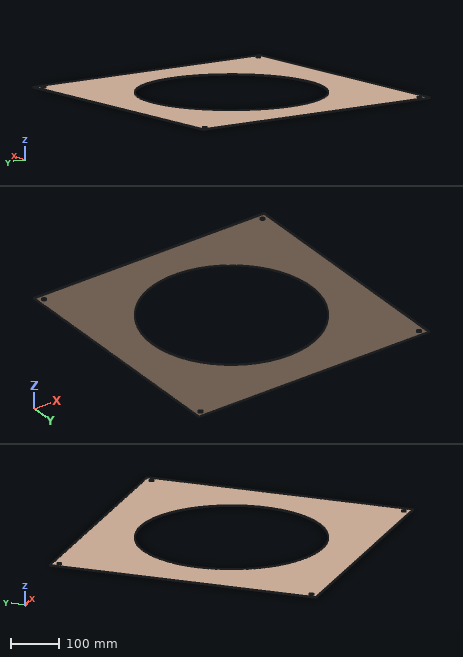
import cadquery as cq

side = 586.0
thickness = 2.0

opening_diameter = 400.0
corner_hole_diameter = 9.0
corner_hole_inset = 15.0
corner_hole_spacing = side - 2 * corner_hole_inset

plate = cq.Workplane("XY").box(side, side, thickness)

plate = plate.faces(">Z").workplane().hole(opening_diameter)

result = (
    plate.faces(">Z")
    .workplane()
    .rect(corner_hole_spacing, corner_hole_spacing, forConstruction=True)
    .vertices()
    .hole(corner_hole_diameter)
)